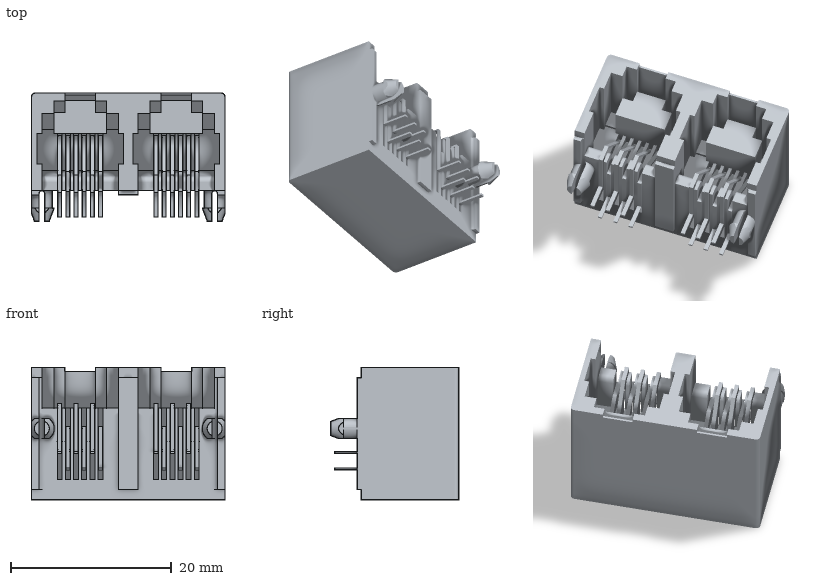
import cadquery as cq


width = 24.13
height = 16.51
back_y = 12.7
front_y = 0.508
corner_radius = 0.508

port_centres = (-6.0, 6.0)
port_half_width = 4.765
port_back_y = 10.16
recess_half_width = 5.38
recess_front_y = 3.81
recess_back_y = 7.62
step_half_width = 3.26
step_back_y = 11.684
latch_half_width = 1.905
latch_back_y = 12.446
latch_notch_depth = 0.508

floor_z = 7.25
ledge_z = 7.6
ledge_front_y = 8.128
block_z = 11.43
block_shoulder_y = 10.25
block_back_y = 11.77

front_wall_z = 11.43
slope_bottom_y = 3.048
slope_top_y = 2.16
slope_rounding = 0.762

pad_bottom_z = 1.27
pad_top_z = 15.24
outer_wall_x = port_centres[1] + port_half_width
centre_wall_half_width = port_centres[1] - port_half_width

peg_z = 8.89
peg_radius = 1.31
barb_half_height = 1.27
barb_radius = 1.54
barb_tip_radius = 0.93
barb_start_y = -1.67
peg_tip_y = -3.3
split_width = 0.66

contact_count = 6
contact_pitch = 1.016
contact_width = 0.508
contact_thickness = 0.254
spring_drop = 0.38
contact_tip_y = 7.366
contact_tip_z = 6.3
tail_end_y = -2.79
contact_slot_width = 0.61
contact_slot_bottom_z = 2.54
contact_bed_z = contact_tip_z - contact_thickness
tall_contact = {"crest_z": 12.0, "bend_y": 2.48, "face_y": 0.26, "tail_z": 5.89}
short_contact = {"crest_z": 9.13, "bend_y": 2.9, "face_y": 0.41, "tail_z": 3.86}


def box(x_range, y_range, z_range):
    """Box between pairs of coordinates."""
    x0, x1 = x_range
    y0, y1 = y_range
    z0, z1 = z_range
    return cq.Workplane("XY").box(x1 - x0, y1 - y0, z1 - z0, centered=False).translate((x0, y0, z0))


def centred_box(x, half_width, y_range, z_range):
    """Box that reaches equally far to both sides of x."""
    return box((x - half_width, x + half_width), y_range, z_range)


def extrude_along_x(profile, x, length):
    """Extrude a closed YZ profile, centred on x."""
    return profile.extrude(length / 2, both=True).translate((x, 0, 0))


def contact_xs(port_x):
    """Centres of the contacts of one port, from left to right."""
    first = port_x - contact_pitch * (contact_count - 1) / 2
    return [first + i * contact_pitch for i in range(contact_count)]


def make_housing():
    body = box((-width / 2, width / 2), (front_y, back_y), (0, height))
    return body.edges("|Z and >Y").fillet(corner_radius)


def make_pads():
    pad_y = (0, front_y)
    pad_z = (pad_bottom_z, pad_top_z)
    pads = centred_box(0, centre_wall_half_width, pad_y, pad_z)
    pads = pads.union(box((outer_wall_x, width / 2), pad_y, pad_z))
    return pads.union(box((-width / 2, -outer_wall_x), pad_y, pad_z))


def make_port_cavity(x):
    """Open space of one port, without the contact slots."""
    sections = [
        (port_half_width, (front_y, slope_bottom_y), front_wall_z),
        (port_half_width, (slope_bottom_y, recess_front_y), floor_z),
        (recess_half_width, (recess_front_y, recess_back_y), floor_z),
        (port_half_width, (recess_back_y, ledge_front_y), floor_z),
        (port_half_width, (ledge_front_y, port_back_y), ledge_z),
        (step_half_width, (port_back_y, step_back_y), ledge_z),
        (latch_half_width, (step_back_y, latch_back_y), ledge_z),
        (latch_half_width, (latch_back_y, back_y), height - latch_notch_depth),
    ]
    cavity = cq.Workplane("XY")
    for half_width, y_range, bottom_z in sections:
        cavity = cavity.add(centred_box(x, half_width, y_range, (bottom_z, height)))
    return cavity.combine()


def make_slope_cut():
    """Space behind the sloping front wall; it also passes through the wall between the ports."""
    wall = (
        cq.Workplane("YZ")
        .polyline([
            (front_y, 0),
            (slope_bottom_y, 0),
            (slope_bottom_y, floor_z),
            (slope_top_y, front_wall_z),
            (front_y, front_wall_z),
        ])
        .close()
    )
    wall = extrude_along_x(wall, 0, 2 * outer_wall_x)
    crest = cq.selectors.NearestToPointSelector((0, slope_top_y, front_wall_z))
    wall = wall.edges(crest).fillet(slope_rounding)
    space = centred_box(0, outer_wall_x, (front_y, slope_bottom_y), (floor_z, front_wall_z))
    return space.cut(wall)


def make_block(x):
    """T-shaped block that guides the plug."""
    block = centred_box(x, step_half_width, (recess_back_y, block_shoulder_y), (floor_z, block_z))
    return block.union(centred_box(x, latch_half_width, (block_shoulder_y, block_back_y), (floor_z, block_z)))


def make_contact_slot(x):
    """Deep groove in the front wall, continued by a shallower bed under the contact."""
    half = contact_slot_width / 2
    groove = centred_box(x, half, (front_y, slope_bottom_y), (contact_slot_bottom_z, front_wall_z))
    return groove.union(centred_box(x, half, (slope_bottom_y, recess_back_y), (contact_bed_z, floor_z)))


def make_contact(x, crest_z, bend_y, face_y, tail_z):
    """Bent strip: sloping spring, level crest, upright and board tail."""
    t = contact_thickness
    tail_top = tail_z + t / 2
    profile = (
        cq.Workplane("YZ")
        .polyline([
            (contact_tip_y, contact_tip_z),
            (bend_y, crest_z),
            (face_y, crest_z),
            (face_y, tail_top),
            (tail_end_y, tail_top),
            (tail_end_y, tail_top - t),
            (face_y + t, tail_top - t),
            (face_y + t, crest_z - t),
            (bend_y - t / 2, crest_z - t),
            (contact_tip_y, contact_tip_z - spring_drop),
        ])
        .close()
    )
    return extrude_along_x(profile, x, contact_width)


def make_peg(side):
    """Barbed peg, flattened above, below and flush with the side of the housing."""
    profile = (
        cq.Workplane("XY")
        .polyline([
            (0, front_y),
            (peg_radius, front_y),
            (peg_radius, barb_start_y),
            (barb_radius, barb_start_y),
            (barb_tip_radius, peg_tip_y),
            (0, peg_tip_y),
        ])
        .close()
    )
    peg = profile.revolve(360, (0, 0, 0), (0, 1, 0)).translate((side * outer_wall_x, 0, peg_z))
    z_range = (peg_z - barb_half_height, peg_z + barb_half_height)
    limits = centred_box(0, width / 2, (peg_tip_y, front_y), z_range)
    return peg.intersect(limits)


def make_peg_split(side):
    """Round-ended slot that splits a peg and runs along its pad."""
    x = side * outer_wall_x
    radius = split_width / 2
    round_y = front_y - radius
    pad_length = pad_top_z - pad_bottom_z
    split = centred_box(x, radius, (peg_tip_y, round_y), (pad_bottom_z, pad_top_z))
    end = cq.Workplane("XY").circle(radius).extrude(pad_length)
    return split.union(end.translate((x, round_y, pad_bottom_z)))


result = make_housing().union(make_pads())
for port_x in port_centres:
    result = result.cut(make_port_cavity(port_x))
result = result.cut(make_slope_cut())

for side in (-1, 1):
    result = result.union(make_peg(side)).cut(make_peg_split(side))

for port_x in port_centres:
    result = result.union(make_block(port_x))
    for index, contact_x in enumerate(contact_xs(port_x)):
        shape = tall_contact if index % 2 == 0 else short_contact
        result = result.cut(make_contact_slot(contact_x))
        result = result.union(make_contact(contact_x, **shape))